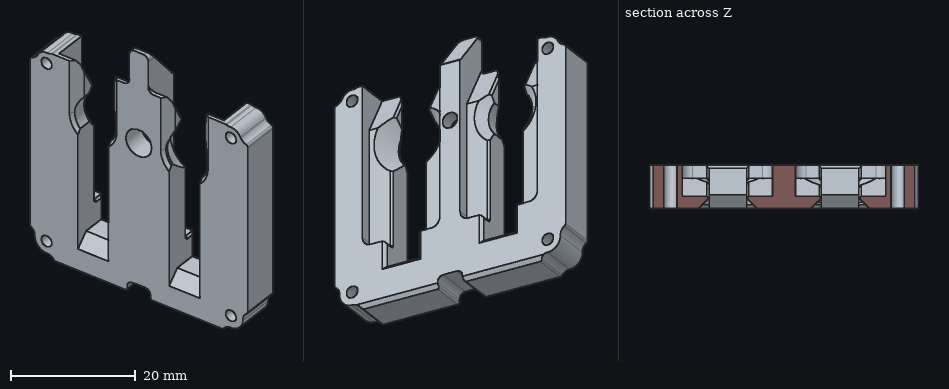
import cadquery as cq
import math

WIDTH = 43.0
DEPTH = 7.0
HEIGHT = 46.9
ARM_TOP = 39.85
HALF_WIDTH = WIDTH / 2
BACK_BOTTOM_CHAMFER = 0.7

BOSS_X = 18.2
LOW_BOSS_Z = 3.25
LOW_BOSS_RADIUS = 2.35
HIGH_BOSS_Z = 37.6
HIGH_BOSS_RADIUS = 2.05
BOSS_BLEND_RADIUS = 1.75
LOW_BLEND_SIDE_Z = 4.92
LOW_BLEND_BOTTOM_X = 16.65
HIGH_BLEND_SIDE_Z = 37.45
HIGH_BLEND_TOP_X = 17.2
BOSS_HOLE_RADIUS = 1.05
BLEND_END_RADIUS = 0.45

TONGUE_HALF_WIDTH = 1.88
TONGUE_TIP_RADIUS = 1.0
TONGUE_ROOT_RADIUS = 1.1
TONGUE_TIP_THICKNESS = 0.85
TONGUE_SLOPE_ANGLE = 40.5

NOTCH_HALF_WIDTH = 2.3
NOTCH_DEPTH = 1.9
NOTCH_TOP_RADIUS = 1.1
NOTCH_MOUTH_RADIUS = 0.38

SLOT_X = 9.0
SLOT_HALF_WIDTH = 3.0
SLOT_FRONT_FLOOR = 4.17
SLOT_RAMP = 2.25
SLOT_BACK_CHAMFER = 0.55

SEAT_Z = 29.88
SEAT_RADIUS = 4.1
LEAD_IN_RADIUS = 4.7
SHORT_FLARE_RADIUS = 5.7
LONG_FLARE_RADIUS = 6.4
LONG_FLARE_START = 1.05

POCKET_OUTER_X = 16.27
RIB_HALF_WIDTH = TONGUE_HALF_WIDTH
POCKET_FLOOR = 10.95
POCKET_CORNER_RADIUS = 1.6
PLATE_THICKNESS = 4.85
PLATE_TOP_THICKNESS = 0.75
PLATE_BEVEL_ANGLE = 30.0
POCKET_EDGE_CHAMFER = 0.38

SCREW_Z = 29.4
SCREW_RADIUS = 1.35
HEAD_RADIUS = 2.55
HEAD_DEPTH = 4.2

OVERCUT = 2.35
SIDES = (-1, 1)
SHORT_FLARE_START = PLATE_THICKNESS - (SHORT_FLARE_RADIUS - SEAT_RADIUS)
SLOT_FLOOR = SLOT_FRONT_FLOOR + SLOT_RAMP
BEVEL_DEPTH = PLATE_THICKNESS - PLATE_TOP_THICKNESS
BEVEL_BOTTOM = ARM_TOP - BEVEL_DEPTH / math.tan(math.radians(PLATE_BEVEL_ANGLE))


def prism_along_y(sketch, y_start, y_end):
    """Extrude a closed XZ outline, drawn on the XZ plane, from y_start to y_end."""
    return sketch.extrude(-(y_end - y_start)).translate((0, y_start, 0))


def polygon_along_y(points, y_start, y_end):
    return prism_along_y(cq.Workplane("XZ").polyline(points).close(), y_start, y_end)


def polygon_along_x(points, x_start, x_end):
    return cq.Workplane("YZ").polyline(points).close().extrude(x_end - x_start).translate((x_start, 0, 0))


def polygon_along_z(points, z_start, z_end):
    return cq.Workplane("XY", origin=(0, 0, z_start)).polyline(points).close().extrude(z_end - z_start)


def disc_along_y(x, z, radius, y_start, y_end):
    return prism_along_y(cq.Workplane("XZ").center(x, z).circle(radius), y_start, y_end)


def corner_fillet(wall_x, floor_z, radius, side):
    """Material filling the corner of a wall and a floor below it, rounded by a hollow arc."""
    outer_x = wall_x + side * radius
    top_z = floor_z + radius
    square = polygon_along_y(
        [(wall_x, floor_z), (outer_x, floor_z), (outer_x, top_z), (wall_x, top_z)], 0, DEPTH
    )
    return square.cut(disc_along_y(outer_x, top_z, radius, 0, DEPTH))


def on_circle(center, radius, angle):
    return (center[0] + radius * math.cos(angle), center[1] + radius * math.sin(angle))


def angle_to(center, point):
    return math.atan2(point[1] - center[1], point[0] - center[0])


def blend_center(boss, boss_radius, edge_point, turn):
    """Center of the hollow arc that starts on edge_point and runs tangent into a round boss.

    turn is +1 or -1 for a center counterclockwise or clockwise of edge_point, seen from the boss.
    """
    reach = boss_radius + BOSS_BLEND_RADIUS
    span = math.dist(boss, edge_point)
    offset = math.acos((reach**2 + span**2 - BOSS_BLEND_RADIUS**2) / (2 * reach * span))
    return on_circle(boss, reach, angle_to(boss, edge_point) + turn * offset)


def arc_about(sketch, center, start, end):
    """Continue a sketch from start to end along the shorter arc about center."""
    first = angle_to(center, start)
    sweep = math.remainder(angle_to(center, end) - first, 2 * math.pi)
    middle = on_circle(center, math.dist(center, start), first + sweep / 2)
    return sketch.threePointArc(middle, end)


def boss_corner(sketch, boss, radius, entry, leave):
    """From entry, follow a hollow blend, the boss and a second hollow blend to leave."""
    first_blend = blend_center(boss, radius, entry, 1)
    last_blend = blend_center(boss, radius, leave, -1)
    boss_start = on_circle(boss, radius, angle_to(boss, first_blend))
    boss_end = on_circle(boss, radius, angle_to(boss, last_blend))
    sketch = arc_about(sketch, first_blend, entry, boss_start)
    sketch = arc_about(sketch, boss, boss_start, boss_end)
    return arc_about(sketch, last_blend, boss_end, leave)


def half_body():
    """Left half of the body, solid from front to back."""
    sketch = cq.Workplane("XZ").moveTo(0, 0).lineTo(0, ARM_TOP).lineTo(-HIGH_BLEND_TOP_X, ARM_TOP)
    sketch = boss_corner(
        sketch, (-BOSS_X, HIGH_BOSS_Z), HIGH_BOSS_RADIUS,
        (-HIGH_BLEND_TOP_X, ARM_TOP), (-HALF_WIDTH, HIGH_BLEND_SIDE_Z),
    )
    sketch = sketch.lineTo(-HALF_WIDTH, LOW_BLEND_SIDE_Z)
    sketch = boss_corner(
        sketch, (-BOSS_X, LOW_BOSS_Z), LOW_BOSS_RADIUS,
        (-HALF_WIDTH, LOW_BLEND_SIDE_Z), (-LOW_BLEND_BOTTOM_X, 0),
    )
    body = prism_along_y(sketch.close(), 0, DEPTH)
    body = body.faces("<X").edges("|Y").fillet(BLEND_END_RADIUS)
    for straight_edge in (">Z", "<Z"):
        body = body.faces(straight_edge).edges("|Y and <X").fillet(BLEND_END_RADIUS)
    return body


def tongue():
    """Round-tipped tongue with root fillets, bevelled at the back."""
    height = HEIGHT - ARM_TOP
    blade = cq.Workplane("XY").box(2 * TONGUE_HALF_WIDTH, DEPTH, height, centered=(True, False, False))
    blade = blade.edges("|Y and >Z").fillet(TONGUE_TIP_RADIUS).translate((0, 0, ARM_TOP))
    for side in SIDES:
        blade = blade.union(corner_fillet(side * TONGUE_HALF_WIDTH, ARM_TOP, TONGUE_ROOT_RADIUS, side))
    slope_end = TONGUE_TIP_THICKNESS + HEIGHT * math.tan(math.radians(TONGUE_SLOPE_ANGLE))
    behind = polygon_along_x(
        [(TONGUE_TIP_THICKNESS, HEIGHT), (slope_end, 0), (slope_end, HEIGHT)],
        -HALF_WIDTH, HALF_WIDTH,
    )
    return blade.cut(behind)


def bottom_notch():
    """Round-cornered notch whose mouth flares out to the bottom edge."""
    notch = cq.Workplane("XY").box(
        2 * NOTCH_HALF_WIDTH, DEPTH, NOTCH_DEPTH + OVERCUT, centered=(True, False, False)
    )
    notch = notch.edges("|Y and >Z").fillet(NOTCH_TOP_RADIUS).translate((0, 0, -OVERCUT))
    for side in SIDES:
        notch = notch.union(corner_fillet(side * NOTCH_HALF_WIDTH, 0, NOTCH_MOUTH_RADIUS, side))
    return notch


def slot():
    """Slot about X = 0: open at the top, ramped floor, chamfered where its floor meets the back."""
    top = ARM_TOP + OVERCUT
    profile = [
        (0, top), (0, SLOT_FRONT_FLOOR), (SLOT_RAMP, SLOT_FLOOR), (DEPTH - SLOT_BACK_CHAMFER, SLOT_FLOOR),
        (DEPTH, SLOT_FLOOR - SLOT_BACK_CHAMFER), (DEPTH, top),
    ]
    opening = polygon_along_x(profile, -SLOT_HALF_WIDTH, SLOT_HALF_WIDTH)
    outer = SLOT_HALF_WIDTH + SLOT_BACK_CHAMFER
    start = DEPTH - SLOT_BACK_CHAMFER
    chamfers = polygon_along_z(
        [(-SLOT_HALF_WIDTH, start), (-outer, DEPTH), (outer, DEPTH), (SLOT_HALF_WIDTH, start)],
        SLOT_FLOOR - SLOT_BACK_CHAMFER, ARM_TOP,
    )
    chamfer_floor = polygon_along_x(
        [(start, SLOT_FLOOR), (DEPTH, SLOT_FLOOR - SLOT_BACK_CHAMFER), (DEPTH, ARM_TOP), (start, ARM_TOP)],
        -outer, outer,
    )
    return opening.union(chamfers.intersect(chamfer_floor))


def slot_seat(flare_radius, flare_start):
    """Round seat about X = 0 with its conical ends and the V-shaped entry above it."""
    lead_in = LEAD_IN_RADIUS - SEAT_RADIUS
    profile = [
        (0, 0), (LEAD_IN_RADIUS, 0), (SEAT_RADIUS, lead_in), (SEAT_RADIUS, flare_start),
        (flare_radius, PLATE_THICKNESS), (0, PLATE_THICKNESS),
    ]
    seat = cq.Workplane("XY").polyline(profile).close().revolve(360, (0, 0), (0, 1))
    entry = polygon_along_z(
        [(-LEAD_IN_RADIUS, 0), (LEAD_IN_RADIUS, 0), (0, LEAD_IN_RADIUS)], 0, ARM_TOP + OVERCUT - SEAT_Z
    )
    return seat.union(entry).translate((0, 0, SEAT_Z))


def rear_pocket():
    """Pocket on the +X side: flat against the plate, then bevelled forward up to the arm tops."""
    top = ARM_TOP + OVERCUT
    top_y = PLATE_TOP_THICKNESS - OVERCUT * math.tan(math.radians(PLATE_BEVEL_ANGLE))
    profile = [
        (PLATE_THICKNESS, POCKET_FLOOR), (PLATE_THICKNESS, BEVEL_BOTTOM), (top_y, top),
        (DEPTH, top), (DEPTH, POCKET_FLOOR),
    ]
    pocket = polygon_along_x(profile, RIB_HALF_WIDTH, POCKET_OUTER_X)
    return pocket.edges("|Y and <Z").fillet(POCKET_CORNER_RADIUS)


def pocket_edge_chamfers():
    """Chamfers, about X = 0, where the slot breaks into the pocket floor, plate and bevel."""
    outer = SLOT_HALF_WIDTH + POCKET_EDGE_CHAMFER
    inner_depth = -POCKET_EDGE_CHAMFER
    section = [(-outer, 0), (outer, 0), (SLOT_HALF_WIDTH, inner_depth), (-SLOT_HALF_WIDTH, inner_depth)]

    def along(origin, outward, length):
        """Sweep the section along one pocket face whose outward direction is given in Y and Z."""
        plane = cq.Plane(origin=origin, xDir=(1, 0, 0), normal=(0, -outward[1], outward[0]))
        return cq.Workplane(plane).polyline(section).close().extrude(length)

    bevel = math.radians(PLATE_BEVEL_ANGLE)
    bevel_length = (ARM_TOP - BEVEL_BOTTOM) / math.cos(bevel)
    floor = along((0, DEPTH, POCKET_FLOOR), (0, 1), DEPTH - PLATE_THICKNESS)
    wall = along((0, PLATE_THICKNESS, POCKET_FLOOR), (1, 0), BEVEL_BOTTOM - POCKET_FLOOR)
    slope = along((0, PLATE_THICKNESS, BEVEL_BOTTOM), (math.cos(bevel), math.sin(bevel)), bevel_length)
    return floor.union(wall).union(slope)


left_half = half_body()
body = left_half.union(left_half.mirror("YZ"))
body = body.cut(bottom_notch())
body = body.cut(polygon_along_x(
    [(DEPTH, 0), (DEPTH - BACK_BOTTOM_CHAMFER, 0), (DEPTH, BACK_BOTTOM_CHAMFER)], -HALF_WIDTH, HALF_WIDTH
))
body = body.union(tongue())

right_pocket = rear_pocket()
body = body.cut(right_pocket).cut(right_pocket.mirror("YZ"))

chamfered_slot = slot().union(pocket_edge_chamfers())
left_slot = chamfered_slot.union(slot_seat(SHORT_FLARE_RADIUS, SHORT_FLARE_START))
right_slot = chamfered_slot.union(slot_seat(LONG_FLARE_RADIUS, LONG_FLARE_START))
body = body.cut(left_slot.translate((-SLOT_X, 0, 0)))
body = body.cut(right_slot.translate((SLOT_X, 0, 0)))

for side in SIDES:
    for boss_z in (LOW_BOSS_Z, HIGH_BOSS_Z):
        body = body.cut(disc_along_y(side * BOSS_X, boss_z, BOSS_HOLE_RADIUS, 0, DEPTH))
body = body.cut(disc_along_y(0, SCREW_Z, SCREW_RADIUS, 0, DEPTH))
body = body.cut(disc_along_y(0, SCREW_Z, HEAD_RADIUS, 0, HEAD_DEPTH))
result = cq.Workplane(body.solids().val())